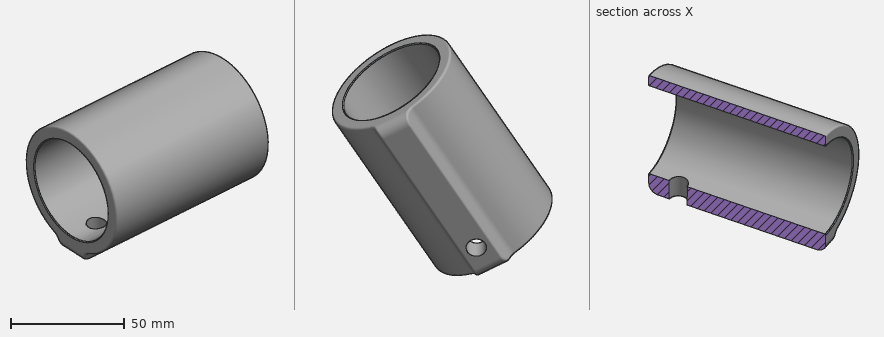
import cadquery as cq
import math

length = 90.0
outer_diameter = 61.0
wall = 6.0
outer_radius = outer_diameter / 2
bore_radius = outer_radius - wall
bore_chamfer = 0.45

overall_height = 65.5
foot_bottom = outer_radius - overall_height
foot_bottom_half_width = 7.2
foot_side_angle = 20.0
foot_root_fillet = 5.0
foot_end_radius = 5.0

edge_fillet = 1.0

hole_diameter = 9.0
hole_end_distance = 15.0


def make_body():
    """Solid cylinder joined to a tapered foot, with blended roots."""
    cylinder = cq.Workplane("XZ").circle(outer_radius).extrude(length / 2, both=True)
    foot_top_half_width = foot_bottom_half_width - foot_bottom * math.tan(math.radians(foot_side_angle))
    foot = (
        cq.Workplane("XZ")
        .moveTo(-foot_bottom_half_width, foot_bottom)
        .lineTo(foot_bottom_half_width, foot_bottom)
        .lineTo(foot_top_half_width, 0)
        .lineTo(-foot_top_half_width, 0)
        .close()
        .extrude(length / 2, both=True)
    )
    body = cylinder.union(foot)
    root_zone = cq.selectors.BoxSelector(
        (-outer_radius, -length, foot_bottom + edge_fillet),
        (outer_radius, length, -outer_radius / 2),
    )
    return body.edges("|Y").edges(root_zone).fillet(foot_root_fillet)


def round_outside(body):
    """Round the foot's two ends, then break every outer edge."""
    body = body.faces("<Z").edges("|X").fillet(foot_end_radius)
    return body.faces("<Z").edges("|Y").fillet(edge_fillet)


def cut_bore(body):
    """Turn the bore and its chamfered mouths as one revolved cut about Y."""
    mouth_radius = bore_radius + bore_chamfer
    end = length / 2
    chamfer_start = end - bore_chamfer
    bore = (
        cq.Workplane("XY")
        .moveTo(0, -end)
        .lineTo(mouth_radius, -end)
        .lineTo(bore_radius, -chamfer_start)
        .lineTo(bore_radius, chamfer_start)
        .lineTo(mouth_radius, end)
        .lineTo(0, end)
        .close()
        .revolve(360, (0, 0), (0, 1))
    )
    return body.cut(bore)


def cut_hole(body):
    """Drill from the bore down through the foot, near the -Y end."""
    hole = (
        cq.Workplane("XY")
        .center(0, hole_end_distance - length / 2)
        .circle(hole_diameter / 2)
        .extrude(foot_bottom)
    )
    return body.cut(hole)


result = cut_hole(cut_bore(round_outside(make_body())))